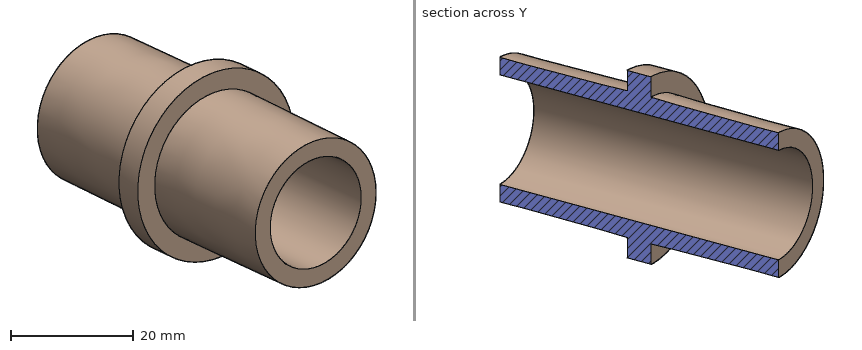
import cadquery as cq

total_length = 55.55
flange_diameter = 33.4
flange_width = 4.8
root_diameter = 26.15
tip_diameter = 25.8
bore_diameter = 19.4

half_length = total_length / 2
half_flange = flange_width / 2
flange_radius = flange_diameter / 2
root_radius = root_diameter / 2
tip_radius = tip_diameter / 2
bore_radius = bore_diameter / 2

section = (
    cq.Workplane("XY")
    .moveTo(-half_length, bore_radius)
    .lineTo(-half_length, tip_radius)
    .lineTo(-half_flange, root_radius)
    .lineTo(-half_flange, flange_radius)
    .lineTo(half_flange, flange_radius)
    .lineTo(half_flange, root_radius)
    .lineTo(half_length, tip_radius)
    .lineTo(half_length, bore_radius)
    .close()
)

result = section.revolve(360, (0, 0, 0), (1, 0, 0))